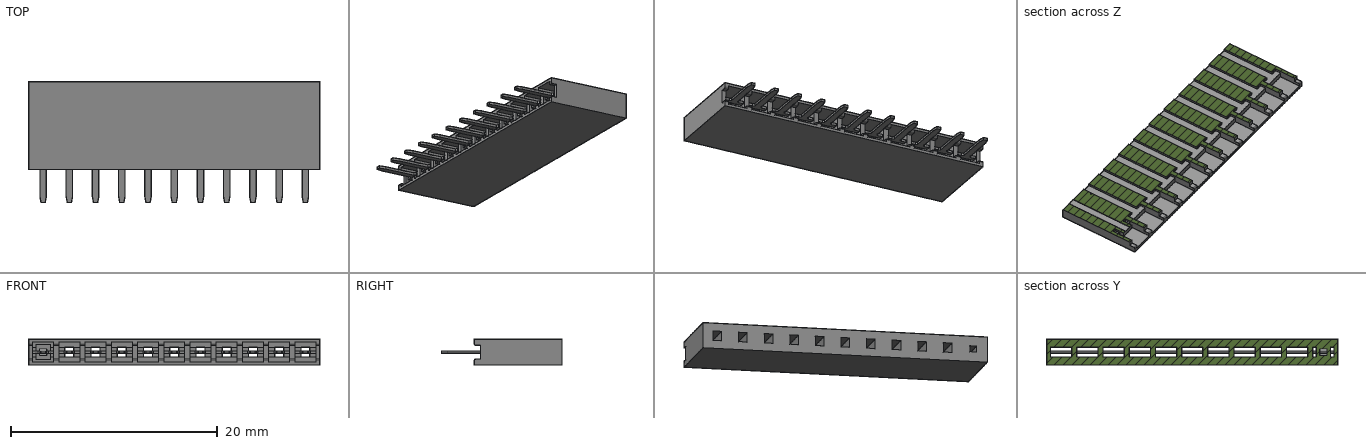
import cadquery as cq

length = 28.2
overall_depth = 11.7
height = 2.5
housing_depth = 8.5
front_y = 0.0
back_y = front_y + housing_depth
tip_y = back_y - overall_depth

position_count = 11
pitch = 2.55
first_x = -pitch * (position_count - 1) / 2
positions = [first_x + i * pitch for i in range(position_count)]

groove_height = 1.32
groove_depth = 0.6
lip_radius = 0.15

pocket_width = 2.03
pocket_height = 1.95
pocket_depth = 2.25
slot_height = 0.93
slot_depth = 2.82
opening_width = 0.85

collar_front_y = front_y + 1.83
collar_width = 1.4
collar_height = 1.45
collar_opening_width = 0.68
collar_opening_height = 0.6

contact_thickness = 0.25
plate_front_y = front_y + 0.8
plate_length = 0.42
shoulder_width = 1.01
shoulder_length = 0.1
pin_width = 0.65
tip_width = 0.42
tip_length = 0.6


def block(x, width, y_start, y_end, block_height):
    """Box centred on x and on the mid-height plane, from y_start to y_end."""
    depth = y_end - y_start
    return cq.Workplane("XY").box(width, depth, block_height).translate((x, y_start + depth / 2, 0))


def make_housing():
    groove_y = front_y + groove_depth
    housing = block(0, length, front_y, back_y, height)
    housing = housing.cut(block(0, length, front_y, groove_y, groove_height))
    lip_edges = cq.selectors.BoxSelector(
        (-length, front_y - lip_radius, -groove_height / 2 - lip_radius),
        (length, front_y + lip_radius, groove_height / 2 + lip_radius),
    )
    return housing.edges("|X").edges(lip_edges).fillet(lip_radius)


def make_cavity(x):
    pocket = block(x, pocket_width, front_y, front_y + pocket_depth, pocket_height)
    slot = block(x, pocket_width, front_y, front_y + slot_depth, slot_height)
    opening = block(x, opening_width, front_y, back_y, slot_height)
    return pocket.union(slot).union(opening)


def make_collar(x):
    collar = block(x, collar_width, collar_front_y, back_y, collar_height)
    return collar.cut(block(x, collar_opening_width, collar_front_y, back_y, collar_opening_height))


def make_contact(x):
    half_outline = [
        (tip_width / 2, tip_y),
        (pin_width / 2, tip_y + tip_length),
        (pin_width / 2, plate_front_y - shoulder_length),
        (shoulder_width / 2, plate_front_y),
        (pocket_width / 2, plate_front_y),
        (pocket_width / 2, plate_front_y + plate_length),
    ]
    mirrored = [(-px, py) for px, py in reversed(half_outline)]
    contact = cq.Workplane("XY").polyline(half_outline + mirrored).close()
    return contact.extrude(contact_thickness / 2, both=True).translate((x, 0, 0))


result = make_housing()
for x in positions:
    result = result.cut(make_cavity(x))
result = result.union(make_collar(positions[0]))
for x in positions:
    result = result.union(make_contact(x))